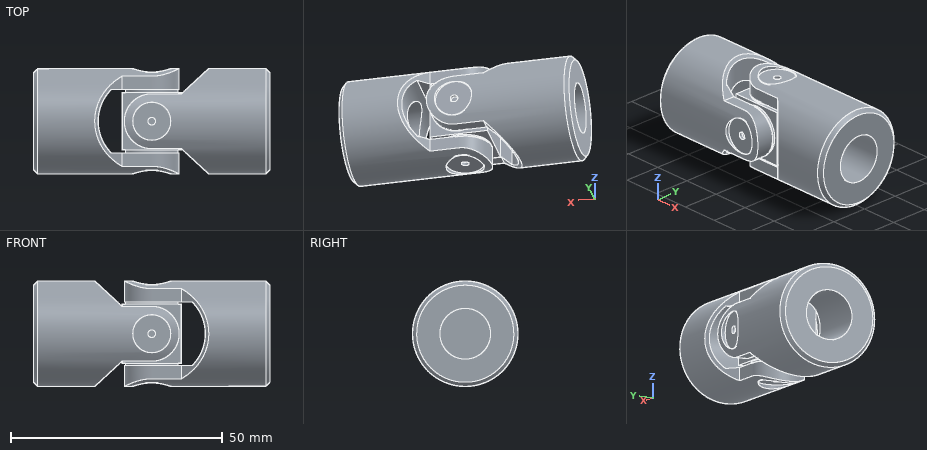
import cadquery as cq
import math


yoke_length = 28.0
body_diameter = 25.0
body_radius = body_diameter / 2
end_chamfer = 1.0
bore_diameter = 12.0
arm_width = 13.0
arm_radius = arm_width / 2
shoulder_near = 7.0
shoulder_far = 13.5
slot_width = 15.0
slot_end_radius = 10.75
slot_depth = 12.65

block_length = 14.0
block_width = 13.5
block_height = 14.0
collar_diameter = 12.5
trunnion_diameter = 9.0
trunnion_span = 23.0
center_hole_diameter = 1.8
center_hole_depth = center_hole_diameter / 2


def x_cylinder(diameter, x_start, length):
    """Cylinder along +X, starting at x_start."""
    return cq.Workplane("YZ", origin=(x_start, 0, 0)).circle(diameter / 2).extrude(length)


def arm_outline():
    """Side profile of the yoke: rounded arms, sloping shoulders and full-width body."""
    return (
        cq.Workplane("XZ")
        .moveTo(yoke_length, -body_radius)
        .lineTo(shoulder_far, -body_radius)
        .lineTo(shoulder_near, -arm_radius)
        .lineTo(0, -arm_radius)
        .threePointArc((-arm_radius, 0), (0, arm_radius))
        .lineTo(shoulder_near, arm_radius)
        .lineTo(shoulder_far, body_radius)
        .lineTo(yoke_length, body_radius)
        .close()
        .extrude(body_radius, both=True)
    )


def fork_slot():
    """Gap between the arms, cut right through along Z and closed by a concave arc."""
    half_width = slot_width / 2
    arc_center = slot_depth - slot_end_radius
    arc_start = arc_center + math.sqrt(slot_end_radius**2 - half_width**2)
    return (
        cq.Workplane("XY")
        .moveTo(-body_radius, -half_width)
        .lineTo(arc_start, -half_width)
        .threePointArc((slot_depth, 0), (arc_start, half_width))
        .lineTo(-body_radius, half_width)
        .close()
        .extrude(body_radius, both=True)
    )


def make_yoke():
    """Bored yoke with its hub towards +X and its arms at +Y and -Y."""
    yoke = x_cylinder(body_diameter, -arm_radius, arm_radius + yoke_length)
    yoke = yoke.faces(">X").chamfer(end_chamfer)
    yoke = yoke.intersect(arm_outline())
    yoke = yoke.cut(fork_slot())
    yoke = yoke.cut(x_cylinder(bore_diameter, 0, yoke_length))
    trunnion_bore = cq.Workplane("XZ").circle(trunnion_diameter / 2).extrude(body_radius, both=True)
    return yoke.cut(trunnion_bore)


def make_cross():
    """Center block with a collar, a trunnion and a blind center hole on each of four sides."""
    cross = cq.Workplane("XY").box(block_length, block_width, block_height)
    for plane in ("XY", "XZ"):
        for diameter, span in ((collar_diameter, slot_width), (trunnion_diameter, trunnion_span)):
            round_bar = cq.Workplane(plane).circle(diameter / 2).extrude(span / 2, both=True)
            cross = cross.union(round_bar)
    for side in (">Y", "<Y", ">Z", "<Z"):
        cross = cross.faces(side).workplane(centerOption="CenterOfMass")
        cross = cross.hole(center_hole_diameter, center_hole_depth)
    return cross


left_yoke = make_yoke().rotate((0, 0, 0), (0, 0, 1), 180)
right_yoke = make_yoke().rotate((0, 0, 0), (1, 0, 0), 90)
cross = make_cross()

result = cq.Compound.makeCompound([left_yoke.val(), right_yoke.val(), cross.val()])